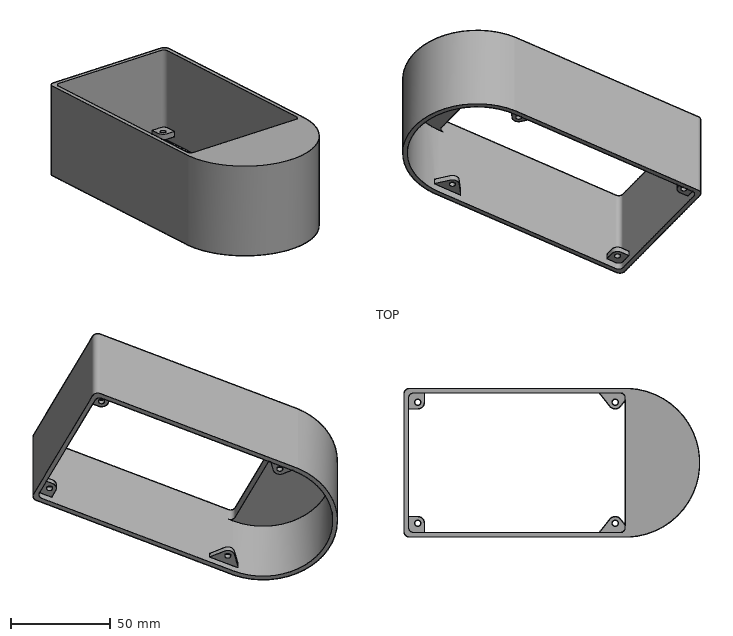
import cadquery as cq
import math

length = 149.1
width = 75.0
height = 49.5
wall = 2.4
roof_thickness = 8.0
outer_corner_radius = 3.0
opening_corner_radius = 2.5
opening_end = 111.5
nose_seam_x = 113.5

hole_diameter = 3.0
hole_inset = 7.0
far_hole_x = 106.5
lug_radius = 3.5
lug_bottom = 4.0
lug_thickness = 3.0
far_lug_half_base = 8.0

nose_radius = width / 2
nose_x = length - nose_radius
hole_y = nose_radius - hole_inset
inner_y = nose_radius - wall


def rounded_end_prism(start_x, seam_x, radius, corner_radius, prism_height):
    """Prism with a round +X end starting at seam_x and two rounded -X corners."""
    return (
        cq.Workplane("XY")
        .moveTo(start_x, -radius)
        .lineTo(seam_x, -radius)
        .threePointArc((nose_x + radius, 0), (seam_x, radius))
        .lineTo(start_x, radius)
        .close()
        .extrude(prism_height)
        .edges("|Z and <X")
        .fillet(corner_radius)
    )


def top_opening():
    """Rectangular window through the roof, flush with the three straight walls."""
    return (
        cq.Workplane("XY", origin=(0, 0, height - roof_thickness))
        .moveTo((wall + opening_end) / 2, 0)
        .rect(opening_end - wall, 2 * inner_y)
        .extrude(roof_thickness)
        .edges("|Z")
        .fillet(opening_corner_radius)
    )


def lug_plane():
    return cq.Workplane("XY", origin=(0, 0, lug_bottom))


def near_lug():
    """Square corner lug with one rounded corner, at the -X, +Y corner."""
    embed = wall / 2
    tip_x = hole_inset + lug_radius
    tip_y = hole_y - lug_radius
    return (
        lug_plane()
        .moveTo(embed, inner_y + embed)
        .lineTo(tip_x, inner_y + embed)
        .lineTo(tip_x, hole_y)
        .radiusArc((hole_inset, tip_y), lug_radius)
        .lineTo(embed, tip_y)
        .close()
        .extrude(lug_thickness)
    )


def far_lug():
    """Triangular lug on the +Y wall whose sides run tangent to a round tip."""
    rise = inner_y - hole_y
    base_distance = math.hypot(far_lug_half_base, rise)
    tangent_angle = math.atan2(rise, far_lug_half_base) - math.acos(lug_radius / base_distance)
    tangent_x = lug_radius * math.cos(tangent_angle)
    tangent_y = hole_y + lug_radius * math.sin(tangent_angle)
    embed_y = inner_y + wall / 2
    return (
        lug_plane()
        .moveTo(far_hole_x - far_lug_half_base, inner_y)
        .lineTo(far_hole_x - tangent_x, tangent_y)
        .threePointArc((far_hole_x, hole_y - lug_radius), (far_hole_x + tangent_x, tangent_y))
        .lineTo(far_hole_x + far_lug_half_base, inner_y)
        .lineTo(far_hole_x + far_lug_half_base, embed_y)
        .lineTo(far_hole_x - far_lug_half_base, embed_y)
        .close()
        .extrude(lug_thickness)
    )


body = rounded_end_prism(0, nose_seam_x, nose_radius, outer_corner_radius, height)
cavity = rounded_end_prism(wall, nose_x, inner_y, opening_corner_radius, height - roof_thickness)
shell = body.cut(cavity).cut(top_opening())

for lug in (near_lug(), far_lug()):
    trimmed_lug = lug.intersect(body)
    shell = shell.union(trimmed_lug).union(trimmed_lug.mirror("XZ"))

hole_centres = [(x, y) for x in (hole_inset, far_hole_x) for y in (-hole_y, hole_y)]
holes = lug_plane().pushPoints(hole_centres).circle(hole_diameter / 2).extrude(lug_thickness)

result = shell.cut(holes)